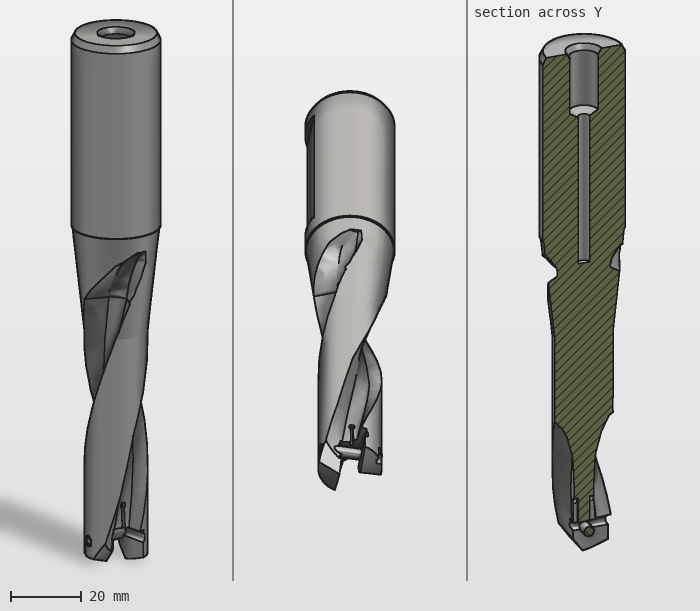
import cadquery as cq
import math

LENGTH = 157.2

SHANK_R = 12.7
SHANK_END_Z = 99.6
SHANK_STEP = 0.3
END_CHAMFER_R = 1.1
END_CHAMFER_H = 2.0
NECK_DIAMETER = 18.0
NECK_R = NECK_DIAMETER / 2
NECK_TOP_Z = 68.7
POINT_SLOPE_DEG = 20.0
TAPER_TOP_R = SHANK_R - SHANK_STEP

FLAT_Y = 11.3
FLAT_BOTTOM_Z = 105.8
FLAT_TOP_Z = 151.0

BORE_R = 4.2
BORE_COUNTERSINK = 1.1
BORE_COUNTERSINK_H = 1.7
BORE_DEPTH = 18.9
BORE_CONE_H = 1.5
COOLANT_R = 1.7
COOLANT_DEPTH = 47.1

FLUTE_COUNT = 2
FLUTE_RATE = 2.227
LEADING_RIM_AT_TIP = 166.5
CORE_R = 3.5
FLUTE_END_Z = 94.8
FLUTE_OVERRUN = 2.4
FLOOR_SAG = 0.08
SECTIONS_PER_STEP = 4
TIP_STATION = (-1.5, CORE_R, 30.0, 0.0, -0.36, 0.55)
LOWER_STATION = (20.6, CORE_R, 33.0, 0.0, -0.3, 0.6)
MIDDLE_STATION = (40.5, CORE_R, 41.0, 0.0, -0.14, 0.72)
UPPER_STATION = (79.4, CORE_R, 42.0, 0.0, -0.14, 0.65)
RUNOUT_STATION = (87.5, 6.6, 30.0, 0.0, -0.2, 0.6)
RUNOUT_TOP_STATION = (91.2, 8.3, 24.0, 2.5, -0.3, 0.6)
END_STATION = (FLUTE_END_Z, 11.3, 8.0, 12.0, -0.4, 0.6)
FLUTE_STRETCHES = [
    [TIP_STATION, LOWER_STATION],
    [LOWER_STATION, MIDDLE_STATION],
    [MIDDLE_STATION, UPPER_STATION],
    [UPPER_STATION, RUNOUT_STATION, RUNOUT_TOP_STATION, END_STATION],
]

SLOT_HALF = 2.8
SLOT_ROOF_Z = 10.4
SLOT_HEAD_HALF = 3.3
SLOT_GROOVE_Y = 2.4
SLOT_GROOVE_Z = 8.2
SLOT_GROOVE_R = 1.5

SLIT_WIDTH = 0.8
RELIEF_HOLE_R = 0.8
RELIEF_HOLE_Z = 17.1
SLIT_DEPTH = 1.5

RELIEF_X = -0.8
RELIEF_SLOPE = 1.4

PIN_X = -1.5
PIN_Z = 7.0
PIN_R = 1.5
PIN_HALF_LENGTH = 8.8
PIN_CHAMFER = 0.6
GROOVE_X = -4.2
GROOVE_Y = -7.9
GROOVE_R = 1.02
GROOVE_TOP_Z = 6.5

CLEARANCE = 2 * SHANK_R


def body_radius(z):
    """Radius of the neck or of the taper above it at height z."""
    share = max(0.0, (z - NECK_TOP_Z) / (SHANK_END_Z - NECK_TOP_Z))
    return NECK_R + share * (TAPER_TOP_R - NECK_R)


def turned_body():
    """Shank, taper and neck with a conical tip, revolved about Z."""
    rise = math.tan(math.radians(POINT_SLOPE_DEG))
    cone_apex_z = -math.hypot(SLOT_HALF, RELIEF_X) * rise
    outline = [
        (0, cone_apex_z),
        (NECK_R, cone_apex_z + NECK_R * rise),
        (NECK_R, NECK_TOP_Z),
        (TAPER_TOP_R, SHANK_END_Z),
        (SHANK_R, SHANK_END_Z + SHANK_STEP),
        (SHANK_R, LENGTH - END_CHAMFER_H),
        (SHANK_R - END_CHAMFER_R, LENGTH),
        (0, LENGTH),
    ]
    return cq.Workplane("XZ").polyline(outline).close().revolve(360, (0, 0), (0, 1))


def shank_flat():
    height = FLAT_TOP_Z - FLAT_BOTTOM_Z
    return (
        cq.Workplane("XY", origin=(0, FLAT_Y, FLAT_BOTTOM_Z))
        .box(CLEARANCE, SHANK_R, height, centered=(True, False, False))
    )


def coolant_bore():
    """Countersunk bore with a drill-point bottom and a thin passage below it."""
    bottom = LENGTH - BORE_DEPTH
    outline = [
        (0, LENGTH),
        (BORE_R + BORE_COUNTERSINK, LENGTH),
        (BORE_R, LENGTH - BORE_COUNTERSINK_H),
        (BORE_R, bottom),
        (COOLANT_R, bottom - BORE_CONE_H),
        (COOLANT_R, bottom - COOLANT_DEPTH),
        (0, bottom - COOLANT_DEPTH),
    ]
    return cq.Workplane("XZ").polyline(outline).close().revolve(360, (0, 0), (0, 1))


def flute_section(z, floor, half_angle, lag, floor_start_share, floor_end_share):
    """Closed wire across one flute: sloping facet, rounded floor and steep wall."""
    half = math.radians(half_angle)
    center = math.radians(LEADING_RIM_AT_TIP + FLUTE_RATE * z - lag) - half
    width = body_radius(z) * math.sin(half)
    rim = body_radius(z) * math.cos(half)

    def place(across, outward):
        return cq.Vector(
            outward * math.cos(center) - across * math.sin(center),
            outward * math.sin(center) + across * math.cos(center),
            z,
        )

    start = floor_start_share * width
    end = floor_end_share * width
    stretch = 1 + (body_radius(z) + FLUTE_OVERRUN - rim) / (rim - floor)
    outer = floor + stretch * (rim - floor)
    floor_start = place(start, floor)
    floor_middle = place((start + end) / 2, floor - FLOOR_SAG * width)
    floor_end = place(end, floor)
    outer_end = place(end + stretch * (width - end), outer)
    outer_start = place(start + stretch * (-width - start), outer)
    return cq.Wire.assembleEdges([
        cq.Edge.makeLine(outer_start, floor_start),
        cq.Edge.makeThreePointArc(floor_start, floor_middle, floor_end),
        cq.Edge.makeLine(floor_end, outer_end),
        cq.Edge.makeLine(outer_end, outer_start),
    ])


def flute_stretch(stations):
    """One stretch of a flute, lofted through its stations and the sections between them."""
    sections = [flute_section(*stations[0])]
    for lower, upper in zip(stations, stations[1:]):
        for i in range(1, SECTIONS_PER_STEP + 1):
            share = i / SECTIONS_PER_STEP
            station = [a + share * (b - a) for a, b in zip(lower, upper)]
            sections.append(flute_section(*station))
    return cq.Workplane(cq.Solid.makeLoft(sections))


def insert_slot():
    """Slot along X with a wider head and a round groove in each wall."""
    slot = cq.Workplane("XY").box(CLEARANCE, 2 * SLOT_HALF, 2 * SLOT_ROOF_Z)
    head = (
        cq.Workplane("XY", origin=(0, 0, SLOT_GROOVE_Z))
        .box(CLEARANCE, 2 * SLOT_HEAD_HALF, SLOT_ROOF_Z - SLOT_GROOVE_Z, centered=(True, True, False))
    )
    grooves = (
        cq.Workplane("YZ")
        .pushPoints([(-SLOT_GROOVE_Y, SLOT_GROOVE_Z), (SLOT_GROOVE_Y, SLOT_GROOVE_Z)])
        .circle(SLOT_GROOVE_R)
        .extrude(CLEARANCE / 2, both=True)
    )
    return slot.union(head).union(grooves)


def flute_slit():
    """Slit and relief hole cut into the -X flute floor, above the insert slot."""
    inner_x = -(CORE_R - SLIT_DEPTH)
    slit = (
        cq.Workplane("YZ", origin=(inner_x, 0, 0))
        .center(0, (SLOT_ROOF_Z + RELIEF_HOLE_Z) / 2)
        .rect(SLIT_WIDTH, RELIEF_HOLE_Z - SLOT_ROOF_Z)
        .extrude(-NECK_R)
    )
    hole = (
        cq.Workplane("YZ", origin=(inner_x, 0, 0))
        .center(0, RELIEF_HOLE_Z)
        .circle(RELIEF_HOLE_R)
        .extrude(-NECK_R)
    )
    return slit.union(hole)


def heel_relief():
    """Wedge that slopes the heel of the -Y jaw upward."""
    run = CLEARANCE
    outline = [
        (RELIEF_X, 0),
        (RELIEF_X + run, RELIEF_SLOPE * run),
        (RELIEF_X + run, -run),
        (RELIEF_X, -run),
    ]
    return cq.Workplane("XZ").polyline(outline).close().extrude(run)


def pin_groove():
    """Round groove beside the pin hole, open at the tip and closed by a ball end."""
    groove = (
        cq.Workplane("XY", origin=(GROOVE_X, GROOVE_Y, 0))
        .circle(GROOVE_R)
        .extrude(GROOVE_TOP_Z)
    )
    ball = cq.Workplane("XY", origin=(GROOVE_X, GROOVE_Y, GROOVE_TOP_Z)).sphere(GROOVE_R)
    return groove.union(ball)


def pin_cylinder(half_length):
    return (
        cq.Workplane("XZ", origin=(PIN_X, half_length, PIN_Z))
        .circle(PIN_R)
        .extrude(2 * half_length)
    )


def half_turns(feature):
    """The feature and its copies spaced evenly about the axis."""
    return [feature.rotate((0, 0, 0), (0, 0, 1), i * 360 / FLUTE_COUNT) for i in range(FLUTE_COUNT)]


def make_holder():
    body = turned_body().cut(shank_flat()).cut(coolant_bore())
    for stations in FLUTE_STRETCHES:
        for flute in half_turns(flute_stretch(stations)):
            body = body.cut(flute)
    body = body.cut(insert_slot())
    for feature in (flute_slit(), heel_relief()):
        for copy in half_turns(feature):
            body = body.cut(copy)
    return body.cut(pin_groove()).cut(pin_cylinder(CLEARANCE))


def make_pin():
    return pin_cylinder(PIN_HALF_LENGTH).faces("<Y or >Y").chamfer(PIN_CHAMFER)


holder = make_holder()
pin = make_pin()

result = cq.Compound.makeCompound([holder.solids().val(), pin.val()])